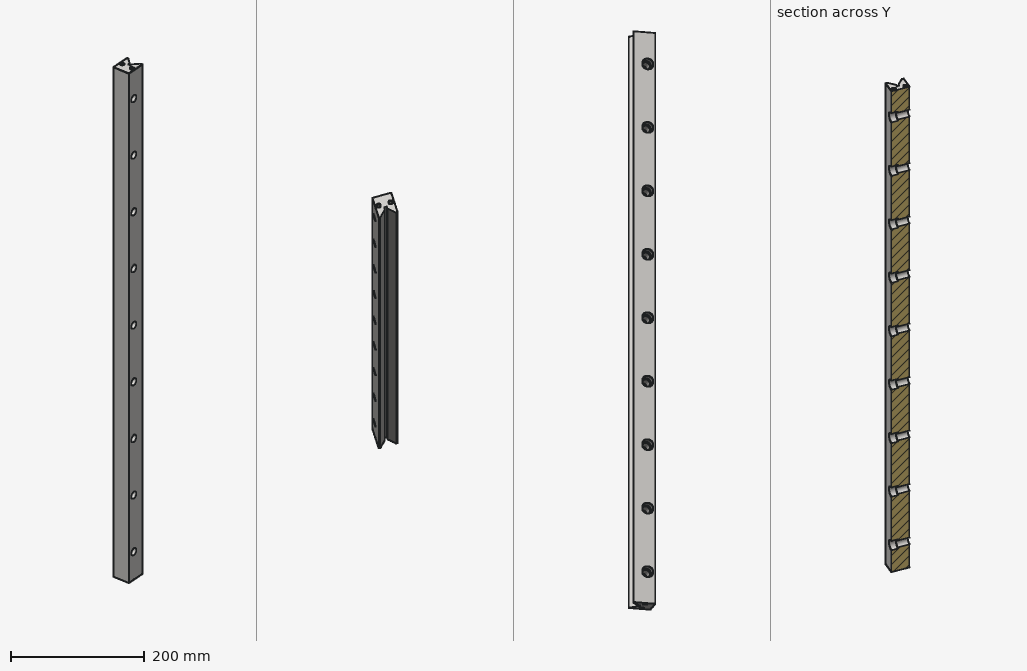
import cadquery as cq
import math

WIDTH = 30.0
HEIGHT = 34.0
LENGTH = 900.0
EDGE_CHAMFER = 0.5

GROOVE_DEPTH = 12.5
GROOVE_HALF_WIDTH = GROOVE_DEPTH
RELIEF_WIDTH = 4.0
RELIEF_DEPTH = 14.0

HOLE_PITCH = 100.0
HOLE_COUNT = 9
HOLE_HEIGHT = 12.0
HOLE_DIAMETER = 12.0
COUNTERBORE_DIAMETER = 16.5
COUNTERBORE_DEPTH = 11.0
COUNTERBORE_CHAMFER = 0.5

END_HOLE_DIAMETER = 5.0
END_HOLE_DEPTH = 15.0
END_HOLE_OFFSET = 9.5
END_HOLE_HEIGHT = 15.0
END_HOLE_CHAMFER = 1.0
DRILL_POINT_ANGLE = 118.0


def rail_body():
    """Chamfered bar standing along Z, with one side on Y = 0."""
    bar = cq.Workplane("XY").box(WIDTH, HEIGHT, LENGTH, centered=(True, False, False))
    return bar.edges().chamfer(EDGE_CHAMFER)


def cut_groove(body):
    """V-groove along the full length, with a narrow relief slot at its root."""
    v_outline = [
        (-GROOVE_HALF_WIDTH, HEIGHT),
        (0, HEIGHT - GROOVE_DEPTH),
        (GROOVE_HALF_WIDTH, HEIGHT),
    ]
    groove = cq.Workplane("XY").polyline(v_outline).close().extrude(LENGTH)
    relief = (
        cq.Workplane("XY")
        .box(RELIEF_WIDTH, RELIEF_DEPTH, LENGTH, centered=(True, False, False))
        .translate((0, HEIGHT - RELIEF_DEPTH, 0))
    )
    return body.cut(groove).cut(relief)


def revolved_cutter(profile):
    """Round cutter about the Z axis from (radius, depth) points, entering at Z = 0 towards +Z."""
    return (
        cq.Workplane("XZ")
        .polyline(profile)
        .close()
        .revolve(360, (0, 0, 0), (0, 1, 0))
    )


def cut_mounting_holes(body):
    """Row of through holes, counterbored from the -X side and centred along the length."""
    hole_radius = HOLE_DIAMETER / 2
    bore_radius = COUNTERBORE_DIAMETER / 2
    cutter = revolved_cutter([
        (0, 0),
        (bore_radius + COUNTERBORE_CHAMFER, 0),
        (bore_radius, COUNTERBORE_CHAMFER),
        (bore_radius, COUNTERBORE_DEPTH),
        (hole_radius, COUNTERBORE_DEPTH),
        (hole_radius, WIDTH),
        (0, WIDTH),
    ]).rotate((0, 0, 0), (0, 1, 0), 90)
    first_z = (LENGTH - (HOLE_COUNT - 1) * HOLE_PITCH) / 2
    for index in range(HOLE_COUNT):
        z = first_z + index * HOLE_PITCH
        body = body.cut(cutter.translate((-WIDTH / 2, HOLE_HEIGHT, z)))
    return body


def cut_end_holes(body):
    """Two chamfered blind holes with drill points, side by side in each end face."""
    radius = END_HOLE_DIAMETER / 2
    point_length = radius / math.tan(math.radians(DRILL_POINT_ANGLE / 2))
    bottom_cutter = revolved_cutter([
        (0, 0),
        (radius + END_HOLE_CHAMFER, 0),
        (radius, END_HOLE_CHAMFER),
        (radius, END_HOLE_DEPTH),
        (0, END_HOLE_DEPTH + point_length),
    ])
    top_cutter = bottom_cutter.mirror("XY").translate((0, 0, LENGTH))
    for x in (-END_HOLE_OFFSET, END_HOLE_OFFSET):
        for cutter in (bottom_cutter, top_cutter):
            body = body.cut(cutter.translate((x, END_HOLE_HEIGHT, 0)))
    return body


result = cut_end_holes(cut_mounting_holes(cut_groove(rail_body())))